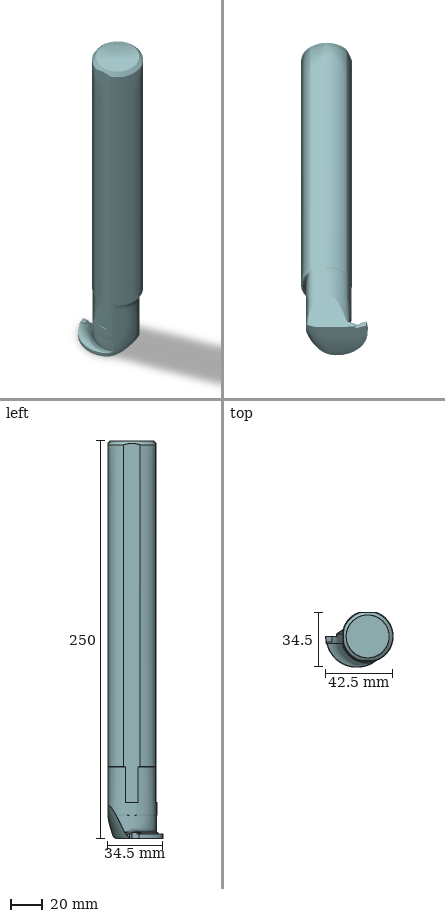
import cadquery as cq
import math

length = 250.0
shank_radius = 32.0 / 2
neck_radius = 31.2 / 2
collar_radius = 31.0 / 2
neck_top = 45.2
collar_top = 14.8
step_height = 0.5
top_chamfer_width = 2.5
top_chamfer_height = 2.5

flat_offset = 30.2 / 2
lower_flat_offset = 30.8 / 2
flat_bottom = 22.8
flat_cut = 12.5

blade_radius = 38.8 / 2
blade_offset = -6.8
blade_thickness = 3.0
flare = 1.2
heel_radius = 12.5
heel_x = 15.0
blade_margin = 2.5

relief_y = 8.2
relief_x_slope = 0.35
relief_z_slope = 0.4
relief_size = 150.0

tip_x = -26.5
tip_clearance = 0.5
insert_width = 4.5
insert_inner_x = -12.5
tip_land_x = -22.5
tip_land_width = 3.5
tip_height = 3.8
shoulder_x = -19.5
shoulder_y = 1.5
backing_x = -15.2
backing_y = 4.5


def block(x_min, x_max, y_min, y_max, z_min, z_max):
    size = (x_max - x_min, y_max - y_min, z_max - z_min)
    return cq.Workplane("XY").box(*size, centered=False).translate((x_min, y_min, z_min))


def stepped_bar():
    collar_bottom = blade_thickness + flare
    profile = [
        (0, 0),
        (collar_radius + flare, 0),
        (collar_radius + flare, blade_thickness),
        (collar_radius, collar_bottom),
        (collar_radius, collar_top - step_height / 2),
        (neck_radius, collar_top + step_height / 2),
        (neck_radius, neck_top - step_height / 2),
        (shank_radius, neck_top + step_height / 2),
        (shank_radius, length - top_chamfer_height),
        (shank_radius - top_chamfer_width, length),
        (0, length),
    ]
    return cq.Workplane("XZ").polyline(profile).close().revolve(360, (0, 0), (0, 1))


def blade_disc(height):
    return cq.Workplane("XY").center(blade_offset, 0).circle(blade_radius).extrude(height)


def cut_flats(bar):
    outer = flat_offset + flat_cut
    bar = bar.cut(block(-outer, -flat_offset, -flat_cut, flat_cut, flat_bottom, length))
    bar = bar.cut(block(-flat_cut, flat_cut, -outer, -flat_offset, flat_bottom, length))
    bar = bar.cut(block(-flat_cut, flat_cut, flat_offset, outer, 0, length))
    return bar.cut(
        block(-outer, -lower_flat_offset, -flat_cut, flat_cut, blade_thickness, flat_bottom)
    )


def relief_cutter():
    normal = cq.Vector(-relief_x_slope, 1, -relief_z_slope)
    plane = cq.Plane(origin=(0, relief_y, 0), xDir=(1, relief_x_slope, 0), normal=normal)
    return cq.Workplane(plane).rect(relief_size, relief_size).extrude(relief_size)


def heel_cutter():
    start_x = heel_x - heel_radius
    middle = heel_radius * math.sqrt(0.5)
    return (
        cq.Workplane("XZ", origin=(0, blade_radius + blade_margin, 0))
        .moveTo(start_x, 0)
        .threePointArc((start_x + middle, heel_radius - middle), (heel_x, heel_radius))
        .lineTo(heel_x, 0)
        .close()
        .extrude(2 * (blade_radius + blade_margin))
    )


def backing_cutter():
    outline = [
        (tip_x, 0),
        (shoulder_x, 0),
        (shoulder_x, shoulder_y),
        (backing_x, backing_y),
        (backing_x, blade_radius),
        (tip_x, blade_radius),
    ]
    return cq.Workplane("XY").polyline(outline).close().extrude(blade_thickness)


def make_insert():
    outline = [
        (tip_x, 0),
        (tip_x + tip_clearance, -insert_width),
        (insert_inner_x, -insert_width),
        (insert_inner_x, shoulder_y),
        (shoulder_x, shoulder_y),
        (shoulder_x, 0),
    ]
    land = [
        (tip_x, 0),
        (tip_x + tip_clearance * tip_land_width / insert_width, -tip_land_width),
        (tip_land_x, -tip_land_width),
        (tip_land_x, 0),
    ]
    insert = cq.Workplane("XY").polyline(outline).close().extrude(blade_thickness)
    return insert.union(cq.Workplane("XY").polyline(land).close().extrude(tip_height))


def make_holder():
    bar = cut_flats(stepped_bar())
    shank = bar.intersect(cq.Workplane("XY", origin=(0, 0, neck_top)).circle(length).extrude(length))
    lower = bar.intersect(blade_disc(neck_top)).union(blade_disc(blade_thickness))
    lower = lower.cut(relief_cutter()).cut(heel_cutter())
    lower = lower.cut(backing_cutter())
    insert_seat = block(tip_x, insert_inner_x, -insert_width, shoulder_y, 0, blade_thickness)
    return shank.union(lower).cut(insert_seat)


holder = make_holder()
insert = make_insert()
result = cq.Compound.makeCompound([holder.val(), insert.val()])